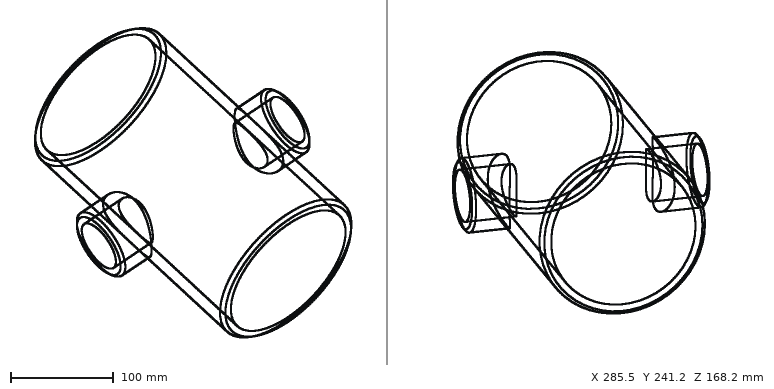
import cadquery as cq

pipe_length = 285.5
pipe_diameter = 168.2
pipe_bore = 146.7
pipe_bevel_length = 3.7
pipe_bevel_depth = 3.7

branch_span = 241.2
branch_diameter = 73.0
branch_bore = 51.5
branch_bevel_length = 2.9
branch_bevel_depth = 3.7


def bevelled_bar(plane, length, diameter, bevel_length, bevel_depth):
    """Solid bar centred on the origin along the plane normal, bevelled at both ends."""
    half_length = length / 2
    radius = diameter / 2
    profile = (
        cq.Workplane("XY")
        .moveTo(0, -half_length)
        .lineTo(radius - bevel_depth, -half_length)
        .lineTo(radius, -half_length + bevel_length)
        .lineTo(radius, half_length - bevel_length)
        .lineTo(radius - bevel_depth, half_length)
        .lineTo(0, half_length)
        .close()
    )
    bar = profile.revolve(360, (0, 0, 0), (0, 1, 0))
    if plane == "YZ":
        return bar.rotate((0, 0, 0), (0, 0, 1), 90)
    return bar


def through_bore(plane, length, diameter):
    """Cylinder centred on the origin along the plane normal."""
    return cq.Workplane(plane).circle(diameter / 2).extrude(length / 2, both=True)


pipe = bevelled_bar("YZ", pipe_length, pipe_diameter, pipe_bevel_length, pipe_bevel_depth)
branches = bevelled_bar("XZ", branch_span, branch_diameter, branch_bevel_length, branch_bevel_depth)

result = (
    pipe.union(branches)
    .cut(through_bore("YZ", pipe_length, pipe_bore))
    .cut(through_bore("XZ", branch_span, branch_bore))
)